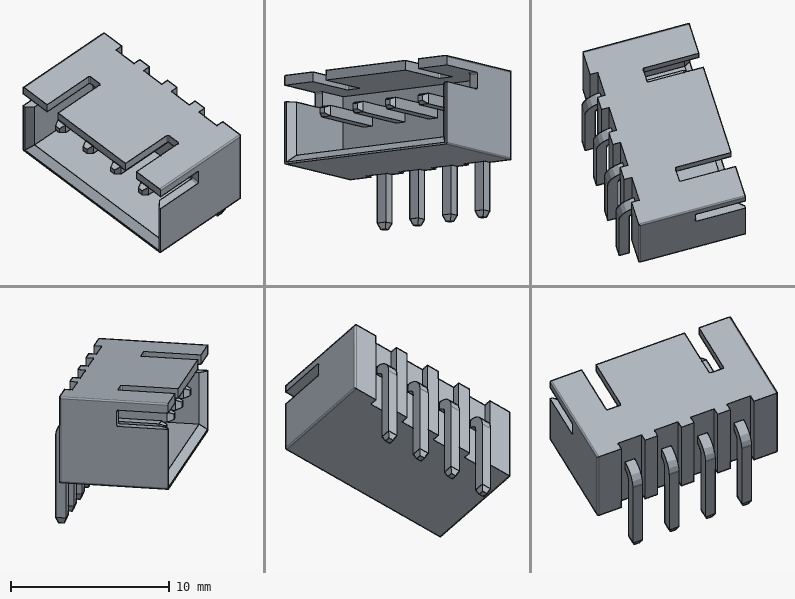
import cadquery as cq
import math

WIDTH = 12.62
DEPTH = 7.02
HEIGHT = 5.7
EDGE_RADIUS = 0.1

SIDE_WALL = 0.58
FLOOR = 0.58
ROOF = 0.63
CAVITY_DEPTH = 5.55
FLARE_DEPTH = 0.45
MOUTH_SIDE_RIM = 0.16
MOUTH_FLOOR_RIM = 0.13
CAVITY_WIDTH = WIDTH - 2 * SIDE_WALL
CEILING = HEIGHT - ROOF

SLOT_RADIUS = 0.1
ROOF_SLOT_WIDTH = 1.01
ROOF_SLOT_LENGTH = 3.7
ROOF_SLOT_OFFSET = 3.6
WINDOW_HEIGHT = 1.07
WINDOW_LENGTH = 3.31

PIN_COUNT = 4
PITCH = 2.54
PIN_SIZE = 0.68
PIN_AXIS_Z = 3.3
PIN_FRONT = 0.6
PIN_BEND_RADIUS = 1.25
TAIL_LENGTH = 3.4
TIP_LENGTH = 0.4
TIP_SIZE = 0.35

NOTCH_WIDTH = 1.65
NOTCH_DEPTH = 0.5

PIN_XS = [(i - (PIN_COUNT - 1) / 2) * PITCH for i in range(PIN_COUNT)]


def box(x_range, y_range, z_range):
    """Axis-aligned box given by its limits along each axis."""
    sizes = [high - low for low, high in (x_range, y_range, z_range)]
    corner = (x_range[0], y_range[0], z_range[0])
    return cq.Workplane("XY").box(*sizes, centered=False).translate(corner)


def shell():
    """Outer block with rounded long edges and rounded rear corners."""
    block = box((-WIDTH / 2, WIDTH / 2), (0, DEPTH), (0, HEIGHT))
    return block.edges("|Y or (|Z and >Y)").fillet(EDGE_RADIUS)


def cavity():
    """Rectangular pocket plus the tapered flare at its mouth."""
    half_width = CAVITY_WIDTH / 2
    pocket = box((-half_width, half_width), (0, CAVITY_DEPTH), (FLOOR, CEILING))
    half_mouth = WIDTH / 2 - MOUTH_SIDE_RIM
    mouth = [
        (-half_mouth, MOUTH_FLOOR_RIM),
        (half_mouth, MOUTH_FLOOR_RIM),
        (half_mouth, CEILING),
        (-half_mouth, CEILING),
    ]
    throat = [
        (-half_width, FLOOR),
        (half_width, FLOOR),
        (half_width, CEILING),
        (-half_width, CEILING),
    ]
    flare = (
        cq.Workplane("XZ")
        .polyline(mouth)
        .close()
        .workplane(offset=-FLARE_DEPTH)
        .polyline(throat)
        .close()
        .loft(ruled=True)
    )
    return pocket.union(flare)


def roof_slot(center_x):
    """Slot through the roof with rounded inner corners."""
    half = ROOF_SLOT_WIDTH / 2
    slot = box((center_x - half, center_x + half), (0, ROOF_SLOT_LENGTH), (CEILING, HEIGHT))
    return slot.edges("|Z and >Y").fillet(SLOT_RADIUS)


def side_windows():
    """Window just below the roof, cut through both side walls."""
    window = box(
        (-WIDTH / 2, WIDTH / 2),
        (0, WINDOW_LENGTH),
        (CEILING - WINDOW_HEIGHT, CEILING),
    )
    return window.edges("|X and >Y").fillet(SLOT_RADIUS)


def back_notch(center_x):
    """Full-height notch in the back face."""
    half = NOTCH_WIDTH / 2
    return box((center_x - half, center_x + half), (DEPTH - NOTCH_DEPTH, DEPTH), (0, HEIGHT))


def tip(plane):
    """Square taper from the full pin size to the blunt end, along the plane normal."""
    return (
        cq.Workplane(plane)
        .rect(PIN_SIZE, PIN_SIZE)
        .workplane(offset=TIP_LENGTH)
        .rect(TIP_SIZE, TIP_SIZE)
        .loft(ruled=True)
    )


def pin(center_x):
    """Square pin running back through the housing and bending down into a tail."""
    top = PIN_AXIS_Z + PIN_SIZE / 2
    underside = PIN_AXIS_Z - PIN_SIZE / 2
    back = DEPTH + PIN_SIZE
    contact_start = PIN_FRONT + TIP_LENGTH
    tail_end = TIP_LENGTH - TAIL_LENGTH
    inner_radius = PIN_BEND_RADIUS - PIN_SIZE
    arc_y = back - PIN_BEND_RADIUS
    arc_z = top - PIN_BEND_RADIUS
    diagonal = math.sqrt(0.5)
    body = (
        cq.Workplane("YZ")
        .moveTo(contact_start, top)
        .lineTo(arc_y, top)
        .threePointArc(
            (arc_y + PIN_BEND_RADIUS * diagonal, arc_z + PIN_BEND_RADIUS * diagonal),
            (back, arc_z),
        )
        .lineTo(back, tail_end)
        .lineTo(DEPTH, tail_end)
        .lineTo(DEPTH, arc_z)
        .threePointArc(
            (arc_y + inner_radius * diagonal, arc_z + inner_radius * diagonal),
            (arc_y, underside),
        )
        .lineTo(contact_start, underside)
        .close()
        .extrude(PIN_SIZE / 2, both=True)
    )
    contact_plane = cq.Plane((0, contact_start, PIN_AXIS_Z), (1, 0, 0), (0, -1, 0))
    tail_plane = cq.Plane((0, DEPTH + PIN_SIZE / 2, tail_end), (1, 0, 0), (0, 0, -1))
    return body.union(tip(contact_plane)).union(tip(tail_plane)).translate((center_x, 0, 0))


housing = shell().cut(cavity()).cut(side_windows())
for slot_x in (-ROOF_SLOT_OFFSET, ROOF_SLOT_OFFSET):
    housing = housing.cut(roof_slot(slot_x))
for pin_x in PIN_XS:
    housing = housing.cut(back_notch(pin_x))

result = housing
for pin_x in PIN_XS:
    result = result.union(pin(pin_x))